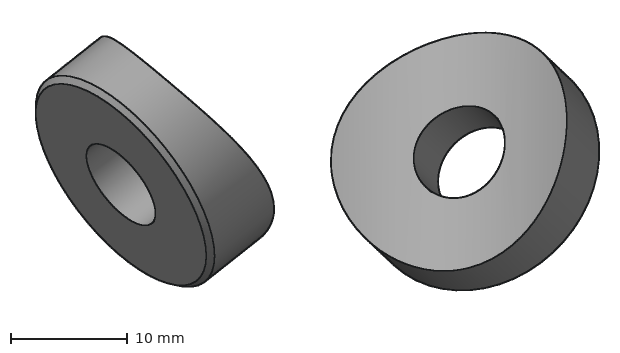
import cadquery as cq

outer_diameter = 22.0
hole_diameter = 8.5
centre_thickness = 5.0
saddle_radius = 24.15
chamfer_size = 0.5
blank_thickness = centre_thickness + outer_diameter / 2


def washer_blank():
    """Disc along Y, front face at Y = 0, with its front rim chamfered."""
    disc = cq.Workplane("XZ").circle(outer_diameter / 2).extrude(-blank_thickness)
    return disc.faces("<Y").edges().chamfer(chamfer_size)


def through_hole():
    return cq.Workplane("XZ").circle(hole_diameter / 2).extrude(-blank_thickness)


def saddle_tube():
    """Cylinder along Z whose surface touches the centre thickness."""
    return (
        cq.Workplane("XY")
        .center(0, centre_thickness + saddle_radius)
        .circle(saddle_radius)
        .extrude(outer_diameter, both=True)
    )


result = washer_blank().cut(saddle_tube()).cut(through_hole())